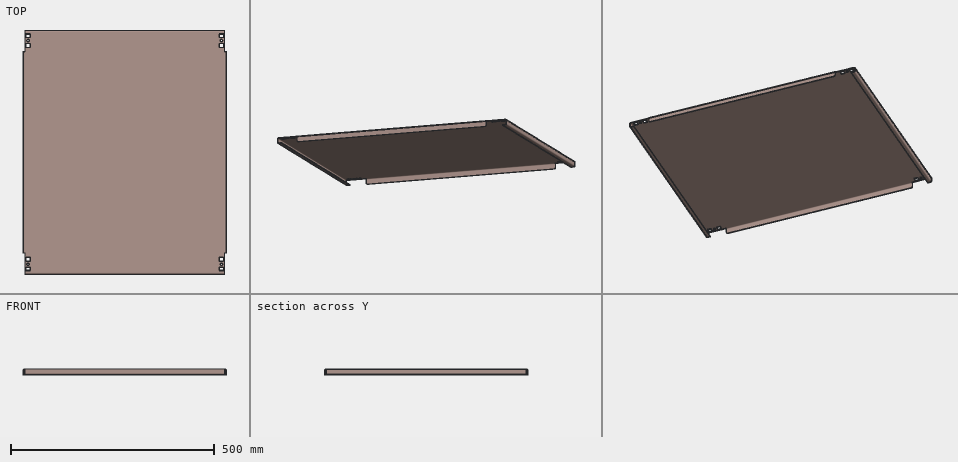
import cadquery as cq

overall_width = 499.0
overall_length = 600.0
height = 15.0

thickness = 2.0
bend_radius = 4.0
inner_bend_radius = bend_radius - thickness

plate_width = overall_width - 2 * bend_radius
lip_depth = 11.0

side_flange_length = 495.0
side_corner_radius = 4.0

square_hole_size = 9.5
round_hole_diameter = 5.7
hole_edge_distance = 8.1
first_hole_distance = 13.0
hole_pitch = 12.25

half_length = overall_length / 2
half_width = overall_width / 2
half_plate_width = plate_width / 2


def rounded_block(length, bottom, top, radius):
    """Block as wide as the plate, with its edges parallel to X rounded."""
    block = cq.Workplane("XY", origin=(0, 0, bottom)).box(
        plate_width, length, top - bottom, centered=(True, True, False)
    )
    return block.edges("|X").fillet(radius)


def make_hooked_plate():
    """Plate bent down at both ends and hooked inward along the bottom."""
    outer = rounded_block(overall_length, 0, height, bend_radius)
    cavity = rounded_block(
        overall_length - 2 * thickness, thickness, height - thickness, inner_bend_radius
    )
    bottom_opening = cq.Workplane("XY").box(
        plate_width, overall_length - 2 * lip_depth, height - thickness, centered=(True, True, False)
    )
    return outer.cut(cavity).cut(bottom_opening)


def make_side_flange():
    """Flange bent down from the +X edge of the plate, with rounded lower corners."""
    inner_face = half_width - thickness
    bend_bottom = height - bend_radius
    flange = (
        cq.Workplane("XZ", origin=(0, side_flange_length / 2, 0))
        .moveTo(half_plate_width, height)
        .radiusArc((half_width, bend_bottom), bend_radius)
        .lineTo(half_width, 0)
        .lineTo(inner_face, 0)
        .lineTo(inner_face, bend_bottom)
        .radiusArc((half_plate_width, height - thickness), -inner_bend_radius)
        .close()
        .extrude(side_flange_length)
    )
    return flange.edges("|X and <Z").fillet(side_corner_radius)


def make_hole_group(side, end):
    """Cutters for the square, round, square hole row at one plate corner."""
    x = side * (half_plate_width - hole_edge_distance)
    first_y = end * (half_length - first_hole_distance)
    step_y = -end * hole_pitch
    plane = cq.Workplane("XY", origin=(x, first_y, height - thickness))
    squares = (
        plane.pushPoints([(0, 0), (0, 2 * step_y)])
        .rect(square_hole_size, square_hole_size)
        .extrude(thickness)
    )
    round_hole = plane.center(0, step_y).circle(round_hole_diameter / 2).extrude(thickness)
    return squares.add(round_hole).combine()


side_flange = make_side_flange()
result = make_hooked_plate().union(side_flange).union(side_flange.mirror("YZ"))
for side in (-1, 1):
    for end in (-1, 1):
        result = result.cut(make_hole_group(side, end))